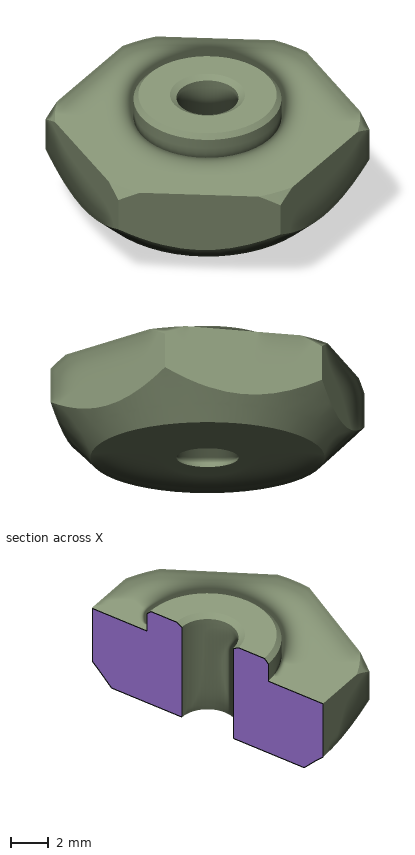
import cadquery as cq

corner_diameter = 17.32
total_height = 6.2
boss_height = 1.4
body_height = total_height - boss_height
corner_radius = corner_diameter / 2

bottom_face_radius = 6.25
top_corner_chamfer = 0.52
bottom_corner_chamfer = corner_radius - bottom_face_radius

boss_diameter = 7.9
boss_chamfer = 0.26

hole_diameter = 3.3
countersink_diameter = 4.0
countersink_angle = 120


def chamfered_hexagon():
    """Hexagonal prism intersected with a disc chamfered at both rims."""
    prism = cq.Workplane("XY").polygon(6, corner_diameter).extrude(body_height)
    disc = (
        cq.Workplane("XY")
        .circle(corner_radius)
        .extrude(body_height)
        .faces(">Z")
        .chamfer(top_corner_chamfer)
        .faces("<Z")
        .chamfer(bottom_corner_chamfer)
    )
    return prism.intersect(disc)


def boss():
    """Round boss, chamfered around its top rim."""
    return (
        cq.Workplane("XY", origin=(0, 0, body_height))
        .circle(boss_diameter / 2)
        .extrude(boss_height)
        .faces(">Z")
        .chamfer(boss_chamfer)
    )


def drill_hole(body):
    """Cut the through hole and its conical mouth in the top face."""
    return body.faces(">Z").workplane(origin=(0, 0, 0)).cskHole(
        hole_diameter, countersink_diameter, countersink_angle
    )


result = drill_hole(chamfered_hexagon().union(boss()))